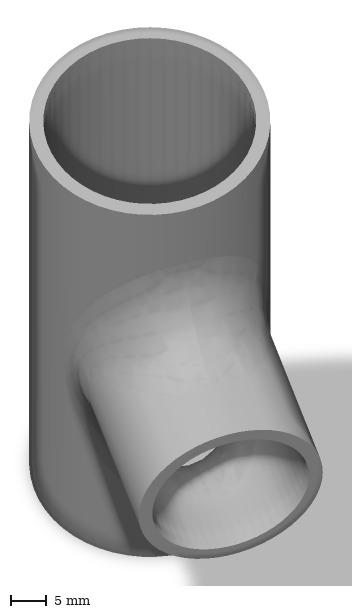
import cadquery as cq

run_length = 76.0
run_diameter = 33.7
branch_diameter = 26.9
branch_reach = 38.0
wall = 2.0
crotch_radius = 13.0


def blended_tee(run_radius, branch_radius, blend_radius):
    """Solid tee: a vertical run and a +X branch, with a rolling-ball blend where they meet."""
    run = cq.Workplane("XY").circle(run_radius).extrude(run_length / 2, both=True)
    branch = cq.Workplane("YZ").circle(branch_radius).extrude(branch_reach)
    junction = cq.selectors.BoxSelector(
        (0, -run_radius, -branch_radius),
        (run_radius + wall, run_radius, branch_radius),
    )
    return run.union(branch).edges(junction).fillet(blend_radius)


outside = blended_tee(run_diameter / 2, branch_diameter / 2, crotch_radius)

bore = blended_tee(run_diameter / 2 - wall, branch_diameter / 2 - wall, crotch_radius + wall)

result = outside.cut(bore)